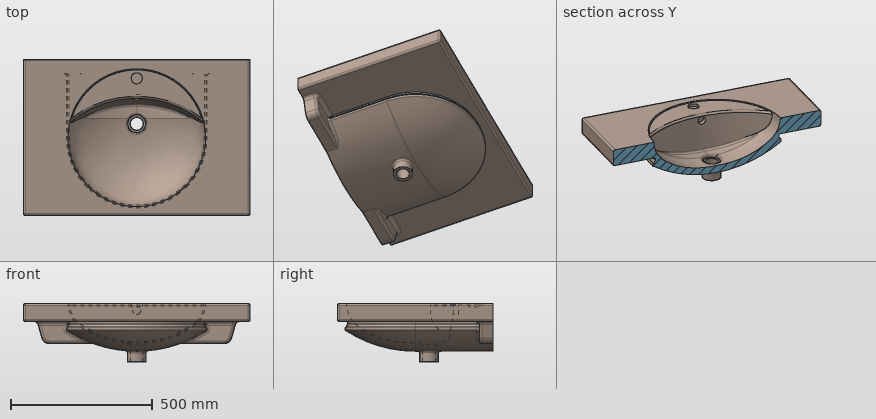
import cadquery as cq
import math

SLAB_LENGTH = 800.0
SLAB_DEPTH = 550.0
SLAB_HEIGHT = 64.0
SLAB_ROUND = 7.0
BACK_Y = SLAB_DEPTH / 2

SHELL_NECK_RADIUS = 238.0
SHELL_NECK_BOTTOM = -72.0
SHELL_MAX_RADIUS = 248.0
SHELL_MAX_Z = -90.0
SHELL_BULGE_TOP = -84.0
SHELL_EDGE_RADIUS = 245.0
SHELL_EDGE_Z = -96.0
SHELL_BOTTOM = -169.0

SHELF_DEPTH = 49.0
SHELF_BOTTOM = -142.0
SHELF_HALF_TOP = 351.0
SHELF_HALF_BOTTOM = 330.0
SHELF_CORNER_ROUND = 26.0
SHELF_EDGE_ROUND = 10.0
SHELF_FLARE_RADIUS = 14.0
SHELL_BLEND_RADIUS = 10.0
SHELF_Y = BACK_Y - SHELF_DEPTH

BASIN_RADIUS = 243.0
BASIN_DEPTH = 139.0
BASIN_MID = (122.0, -122.0)
BASIN_OUTER = (197.0, -85.0)
BASIN_FLOOR_TANGENT = (1, 0)
BASIN_RIM_TANGENT = (0.1, 1)
SEAM_Y = 68.0

WALL_TOP_RADIUS = 380.0
WALL_TOP_Y = 146.0
WALL_AXIS_Y = WALL_TOP_Y - WALL_TOP_RADIUS
WALL_DRAFT = math.radians(9.5)
WALL_ROLL_RADIUS = 8.0
WALL_FOOT_RADIUS = 8.0

DECK_DROP = 2.0
DECK_SLOPE_WIDTH = 4.0
TAP_HOLE_DIAMETER = 39.0
TAP_HOLE_DEPTH = 12.0
TAP_HOLE_Y = 210.0
OVERFLOW_DIAMETER = 29.0
OVERFLOW_Z = -24.0
OVERFLOW_DEPTH = 6.0

DRAIN_Y = 49.0
DRAIN_OUTER_DIAMETER = 66.0
DRAIN_BORE_DIAMETER = 46.0
DRAIN_SEAT_DIAMETER = 62.0
DRAIN_RIM_ROUND = 6.0
DRAIN_RIM_Z = -134.0
DRAIN_SEAT_Z = -146.0
DRAIN_BOTTOM = -206.0
DRAIN_COLLAR_RADIUS = 6.0

OVERLAP = 8.0
TOUCH = 1.0


def make_slab():
    """Rectangular slab, rounded everywhere except along its back face."""
    slab = cq.Workplane("XY").box(SLAB_LENGTH, SLAB_DEPTH, SLAB_HEIGHT, centered=(True, True, False))
    slab = slab.translate((0, 0, -SLAB_HEIGHT))
    return slab.edges("(|Y) or (<Y)").fillet(SLAB_ROUND)


def arc_mid(edge_radius, edge_z, apex_z):
    """Point halfway along an arc that leaves its apex on the axis horizontally."""
    rise = edge_z - apex_z
    radius = (edge_radius**2 + rise**2) / (2 * rise)
    half_angle = math.asin(edge_radius / radius) / 2
    return radius * math.sin(half_angle), apex_z + radius * (1 - math.cos(half_angle))


def make_shell():
    """Outer bowl: turned front half, extended straight to the back face."""
    top = -SLAB_HEIGHT + OVERLAP
    turned = (
        cq.Workplane("XZ")
        .moveTo(0, top)
        .lineTo(SHELL_NECK_RADIUS, top)
        .lineTo(SHELL_NECK_RADIUS, SHELL_NECK_BOTTOM)
        .lineTo(SHELL_EDGE_RADIUS, SHELL_BULGE_TOP)
        .threePointArc((SHELL_MAX_RADIUS, SHELL_MAX_Z), (SHELL_EDGE_RADIUS, SHELL_EDGE_Z))
        .threePointArc(arc_mid(SHELL_EDGE_RADIUS, SHELL_EDGE_Z, SHELL_BOTTOM), (0, SHELL_BOTTOM))
        .close()
        .revolve(360, (0, 0, 0), (0, 1, 0))
    )
    return extend_to_back(turned, 0, BACK_Y)


def extend_to_back(turned, seam_y, back_y):
    """Keep a turned body in front of the seam and run its seam section straight back."""
    reach = SLAB_LENGTH
    keep = cq.Workplane("XY").box(reach, reach, reach).translate((0, seam_y - reach / 2, 0))
    front = turned.intersect(keep)
    section = front.faces(">Y").val()
    back = cq.Solid.extrudeLinear(section, cq.Vector(0, back_y - seam_y, 0))
    return front.union(cq.Workplane(obj=back))


def make_shelf():
    """Back shelf: trapezoid with rounded lower corners and edges."""
    shelf = (
        cq.Workplane("XZ", origin=(0, BACK_Y, 0))
        .polyline([
            (-SHELF_HALF_TOP, -SLAB_HEIGHT),
            (SHELF_HALF_TOP, -SLAB_HEIGHT),
            (SHELF_HALF_BOTTOM, SHELF_BOTTOM),
            (-SHELF_HALF_BOTTOM, SHELF_BOTTOM),
        ])
        .close()
        .extrude(SHELF_DEPTH)
    )
    shelf = shelf.edges("|Y and <Z").fillet(SHELF_CORNER_ROUND)
    return shelf.faces("<Y").edges("not >Z").fillet(SHELF_EDGE_ROUND)


def make_basin():
    """Cavity of the basin, bounded at the back by the curved wall."""
    bowl = (
        cq.Workplane("YZ")
        .moveTo(0, -BASIN_DEPTH)
        .spline(
            [BASIN_MID, BASIN_OUTER, (BASIN_RADIUS, 0)],
            tangents=[BASIN_FLOOR_TANGENT, BASIN_RIM_TANGENT],
            includeCurrent=True,
        )
        .lineTo(0, 0)
        .close()
        .revolve(360, (0, 0, 0), (0, 1, 0))
    )
    bowl = extend_to_back(bowl, SEAM_Y, BACK_Y)
    roll_z = -DECK_DROP - WALL_ROLL_RADIUS
    roll_angle = math.pi / 2 - WALL_DRAFT

    def roll_point(angle):
        """Radius and height on the rolled top edge, at an angle from its top."""
        return (
            WALL_TOP_RADIUS - WALL_ROLL_RADIUS * math.sin(angle),
            roll_z + WALL_ROLL_RADIUS * math.cos(angle),
        )

    roll_end = roll_point(roll_angle)
    foot_z = -BASIN_DEPTH - OVERLAP
    foot_radius = roll_end[0] - (roll_end[1] - foot_z) * math.tan(WALL_DRAFT)
    in_front = (
        cq.Workplane("XZ", origin=(0, WALL_AXIS_Y, 0))
        .moveTo(0, 0)
        .lineTo(WALL_TOP_RADIUS, 0)
        .lineTo(WALL_TOP_RADIUS, -DECK_DROP)
        .threePointArc(roll_point(roll_angle / 2), roll_end)
        .lineTo(foot_radius, foot_z)
        .lineTo(0, foot_z)
        .close()
        .revolve(360, (0, 0, 0), (0, 1, 0))
    )
    basin = bowl.intersect(in_front)
    foot = edges_in_box(
        basin,
        (-BASIN_RADIUS, BASIN_RADIUS),
        (SEAM_Y + TOUCH, WALL_TOP_Y),
        (-BASIN_DEPTH, -BASIN_DEPTH / 2),
    )
    return foot.fillet(WALL_FOOT_RADIUS)


def make_deck_recess():
    """Shallow round recess with a sloping rim."""
    top = cq.Workplane("XY").circle(BASIN_RADIUS)
    return top.workplane(offset=-DECK_DROP).circle(BASIN_RADIUS - DECK_SLOPE_WIDTH).loft()


def cylinder(diameter, y, top, bottom):
    """Upright cylinder on the centre line."""
    return cq.Workplane("XY", origin=(0, y, bottom)).circle(diameter / 2).extrude(top - bottom)


def edges_in_box(body, x_range, y_range, z_range):
    """Edges whose centres lie inside the given ranges."""
    lower, upper = zip(x_range, y_range, z_range)
    return body.edges(cq.selectors.BoxSelector(lower, upper))


def make_flared_slab(shelf):
    """Slab joined to the shelf by a concave fillet along the slab's underside."""
    joined = make_slab().union(shelf)
    joint = edges_in_box(
        joined,
        (-SLAB_LENGTH / 2 + TOUCH, SLAB_LENGTH / 2 - TOUCH),
        (SHELF_Y - TOUCH, BACK_Y - TOUCH),
        (-SLAB_HEIGHT - TOUCH, -SLAB_HEIGHT + TOUCH),
    )
    return joint.fillet(SHELF_FLARE_RADIUS)


def make_blended_shell(shelf):
    """Shell joined to the shelf's front face by a concave fillet."""
    joined = shelf.union(make_shell())
    joint = edges_in_box(
        joined,
        (-SHELL_MAX_RADIUS - TOUCH, SHELL_MAX_RADIUS + TOUCH),
        (SHELF_Y - TOUCH, SHELF_Y + TOUCH),
        (SHELF_BOTTOM + SHELF_EDGE_ROUND + TOUCH, -SLAB_HEIGHT - TOUCH),
    )
    return joint.fillet(SHELL_BLEND_RADIUS)


def add_drain_neck(body):
    """Neck below the bowl with a small collar fillet."""
    body = body.union(cylinder(DRAIN_OUTER_DIAMETER, DRAIN_Y, DRAIN_RIM_Z, DRAIN_BOTTOM))
    reach = DRAIN_OUTER_DIAMETER / 2 + TOUCH
    joint = edges_in_box(
        body,
        (-reach, reach),
        (DRAIN_Y - reach, DRAIN_Y + reach),
        (SHELL_BOTTOM - TOUCH, SHELL_BOTTOM + OVERLAP),
    )
    return joint.fillet(DRAIN_COLLAR_RADIUS)


def cut_drain(body):
    """Stepped drain: rounded rim, flat seat and through bore."""
    body = body.cut(cylinder(DRAIN_SEAT_DIAMETER, DRAIN_Y, DRAIN_RIM_Z + OVERLAP, DRAIN_SEAT_Z))
    reach = DRAIN_SEAT_DIAMETER / 2 + TOUCH
    rim = edges_in_box(
        body,
        (-reach, reach),
        (DRAIN_Y - reach, DRAIN_Y + reach),
        (-BASIN_DEPTH - TOUCH, DRAIN_RIM_Z + OVERLAP),
    )
    body = rim.fillet(DRAIN_RIM_ROUND)
    return body.cut(cylinder(DRAIN_BORE_DIAMETER, DRAIN_Y, DRAIN_RIM_Z, DRAIN_BOTTOM))


def make_overflow():
    """Short blind hole in the middle of the basin's back wall."""
    start = cq.Workplane("XZ", origin=(0, WALL_TOP_Y + OVERFLOW_DEPTH, OVERFLOW_Z))
    return start.circle(OVERFLOW_DIAMETER / 2).extrude(WALL_TOP_Y + OVERFLOW_DEPTH - SEAM_Y)


shelf = make_shelf()
body = make_flared_slab(shelf).union(make_blended_shell(shelf))
body = add_drain_neck(body)
body = body.cut(make_basin())
body = body.cut(make_deck_recess())
body = body.cut(cylinder(TAP_HOLE_DIAMETER, TAP_HOLE_Y, 0, -TAP_HOLE_DEPTH))
body = body.cut(make_overflow())
result = cut_drain(body)